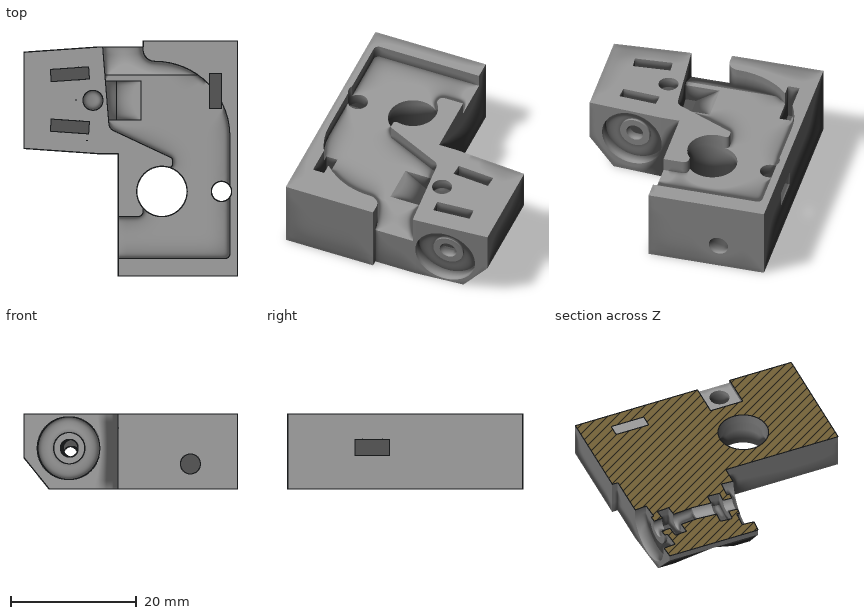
import cadquery as cq
import math

overall_x = 34.0
overall_y = 37.5
height = 12.0
block_left = 15.0

arm_axis_y = 28.0
arm_tip_half_width = 7.7
arm_taper_length = 12.0
arm_taper_angle = 4.0
arm_taper = math.tan(math.radians(arm_taper_angle))
arm_root_half_width = arm_tip_half_width + arm_taper_length * arm_taper
arm_back = arm_axis_y + arm_root_half_width
shoulder_x = 18.98
chamfer_length = 4.0
chamfer_height = 5.0

recess_floor = 9.75
wall_thickness = 1.2
recess_right = overall_x - wall_thickness
recess_front = 2.8
recess_corner_radius = 0.8
sweep_radius = 12.0
sweep_center_x = recess_right - sweep_radius
sweep_center_y = 22.25
shoulder_radius = sweep_center_x - shoulder_x

land_front = 9.5
land_right = 18.98
land_corner_radius = 0.85
finger_bottom = 17.35
finger_tip_x = 23.65
finger_tip_y = 18.8
finger_root_x = 13.58
finger_root_y = 23.5
land_back_x = 12.52
finger_root_radius = 1.3
finger_tip_radius = 0.45

back_slope_front = 32.02
back_slope_angle = 30.0
well_right = 18.6
well_slope_foot = 14.7
well_front = 24.9
well_back = 31.12
well_depth = 2.9

round_holes_y = 13.5
main_hole_x = 21.98
main_hole_diameter = 8.0
screw_hole_diameter = 3.2
wall_hole_x = 31.45
arm_hole_x = 11.0
arm_hole_depth = 1.88
wall_slot_left = 29.55
wall_slot_right = 31.45
wall_slot_front = 26.7
wall_slot_back = 32.3
wall_slot_depth = 6.0

wall_nut_slot_top = 7.9
wall_nut_slot_height = 2.5
wall_nut_slot_width = 5.5
wall_nut_slot_left = wall_hole_x - wall_nut_slot_width / 2

front_hole_x = 26.5
front_hole_z = 4.0
front_hole_depth = 7.5

bore_x = 7.1
front_bore_z = 6.52
back_bore_z = 5.4
bore_diameter = 2.8
seat_diameter = 10.0
seat_depth = 2.0
boss_diameter = 5.0
boss_height = 0.5

nut_slot_x = 7.3
nut_slot_offset = 4.15
nut_slot_length = 6.1
nut_slot_width = 1.95
nut_slot_below_bore = 3.0

groove_half_angle = 45.0
groove_half_width = 5.2
groove_narrowing = 0.5
groove_wall_x = 5.05
groove_foot_x = 7.35
groove_length = 6.38
groove_step_z = 2.1
groove_peak_radius = 0.7


def prism(outline, bottom, top):
    """Extrude a closed XY outline between two heights."""
    return outline.extrude(top - bottom).translate((0, 0, bottom))


def box(x_range, y_range, z_range):
    """Box from its three coordinate ranges."""
    low, high = zip(x_range, y_range, z_range)
    size = [b - a for a, b in zip(low, high)]
    return cq.Workplane("XY").box(*size, centered=False).translate(low)


def upright_hole(x, y, diameter, bottom):
    """Cylinder from the given bottom up to the top face."""
    circle = cq.Workplane("XY").center(x, y).circle(diameter / 2)
    return prism(circle, bottom, height)


def make_body():
    """Block and arm outline with the sloping underside of the arm tip."""
    outline = cq.Workplane("XY").polyline([
        (block_left, 0),
        (overall_x, 0),
        (overall_x, overall_y),
        (shoulder_x, overall_y),
        (shoulder_x, arm_back),
        (arm_taper_length, arm_back),
        (0, arm_axis_y + arm_tip_half_width),
        (0, arm_axis_y - arm_tip_half_width),
        (arm_taper_length, arm_axis_y - arm_root_half_width),
        (block_left, arm_axis_y - arm_root_half_width),
    ]).close()
    tip_chamfer = (
        cq.Workplane("XZ")
        .polyline([(0, 0), (chamfer_length, 0), (0, chamfer_height)])
        .close()
        .extrude(-overall_y)
    )
    return outline.extrude(height).cut(tip_chamfer)


def recess_outline():
    """Recess border: straight walls, a quarter-circle sweep and a rounded shoulder."""
    diagonal = math.sqrt(0.5)
    sweep_top = sweep_center_y + sweep_radius
    corner_offset = recess_corner_radius * (1 - diagonal)
    shoulder_center_y = sweep_top + shoulder_radius
    return (
        cq.Workplane("XY")
        .moveTo(0, recess_front)
        .lineTo(recess_right - recess_corner_radius, recess_front)
        .threePointArc(
            (recess_right - corner_offset, recess_front + corner_offset),
            (recess_right, recess_front + recess_corner_radius),
        )
        .lineTo(recess_right, sweep_center_y)
        .threePointArc(
            (sweep_center_x + sweep_radius * diagonal, sweep_center_y + sweep_radius * diagonal),
            (sweep_center_x, sweep_top),
        )
        .threePointArc(
            (sweep_center_x - shoulder_radius * diagonal, shoulder_center_y - shoulder_radius * diagonal),
            (shoulder_x, shoulder_center_y),
        )
        .lineTo(shoulder_x, overall_y)
        .lineTo(0, overall_y)
        .close()
    )


def make_land():
    """Full-height land that keeps the arm top and the finger beside the main hole."""
    outline = cq.Workplane("XY").polyline([
        (0, land_front),
        (land_right, land_front),
        (land_right, round_holes_y),
        (main_hole_x, round_holes_y),
        (main_hole_x, finger_bottom),
        (finger_tip_x, finger_bottom),
        (finger_tip_x, finger_tip_y),
        (finger_root_x, finger_root_y),
        (land_back_x, arm_back),
        (land_back_x, overall_y),
        (0, overall_y),
    ]).close()
    land = outline.extrude(height)
    for x, y, radius in [
        (land_right, land_front, land_corner_radius),
        (finger_tip_x, finger_bottom, finger_tip_radius),
        (finger_tip_x, finger_tip_y, finger_tip_radius),
        (finger_root_x, finger_root_y, finger_root_radius),
    ]:
        corner = cq.selectors.NearestToPointSelector((x, y, height / 2))
        land = land.edges("|Z").edges(corner).fillet(radius)
    return land


def make_recess():
    """Recess with its back slope and sloped well, leaving the land standing."""
    recess = prism(recess_outline(), recess_floor, height)

    slope_length = overall_y - back_slope_front
    slope_drop = slope_length * math.tan(math.radians(back_slope_angle))
    slope = (
        cq.Workplane("YZ")
        .polyline([
            (back_slope_front, recess_floor),
            (overall_y, recess_floor),
            (overall_y, recess_floor - slope_drop),
        ])
        .close()
        .extrude(overall_x)
    )
    slope = slope.intersect(prism(recess_outline(), 0, height))

    well = (
        cq.Workplane("XZ", origin=(0, well_front, 0))
        .polyline([
            (0, recess_floor),
            (well_right, recess_floor),
            (well_slope_foot, recess_floor - well_depth),
            (0, recess_floor - well_depth),
        ])
        .close()
        .extrude(well_front - well_back)
    )
    return recess.union(slope).union(well).cut(make_land())


def make_side_bore(side, bore_z):
    """Seat, inner boss and bore on one tapered side: -1 is the front, +1 the back."""
    tilt = math.radians(arm_taper_angle)
    half_width = arm_tip_half_width + bore_x * arm_taper
    face = cq.Plane(
        origin=(bore_x, arm_axis_y + side * half_width, bore_z),
        xDir=(0, 0, 1),
        normal=(-math.sin(tilt), side * math.cos(tilt), 0),
    )
    bore_length = half_width / math.cos(tilt) + bore_diameter / 2 * arm_taper
    seat = cq.Workplane(face).circle(seat_diameter / 2).extrude(-seat_depth)
    boss = (
        cq.Workplane(face)
        .workplane(offset=-seat_depth)
        .circle(boss_diameter / 2)
        .extrude(boss_height)
    )
    bore = cq.Workplane(face).circle(bore_diameter / 2).extrude(-bore_length)
    return seat.cut(boss).union(bore)


def make_nut_slot(side, bore_z):
    """Upright slot parallel to one tapered side of the arm."""
    outline = cq.Workplane("XY").rect(nut_slot_length, nut_slot_width)
    slot = prism(outline, bore_z - nut_slot_below_bore, height)
    slot = slot.rotate((0, 0, 0), (0, 0, 1), side * arm_taper_angle)
    return slot.translate((nut_slot_x, arm_axis_y + side * nut_slot_offset, 0))


def groove_section(half_width, inset):
    """Triangle parallel to the tip chamfer, moved inwards along X."""
    peak = half_width / math.tan(math.radians(groove_half_angle))
    peak_x = chamfer_length * (1 - peak / chamfer_height)
    points = [
        cq.Vector(chamfer_length + inset, arm_axis_y - half_width, 0),
        cq.Vector(peak_x + inset, arm_axis_y, peak),
        cq.Vector(chamfer_length + inset, arm_axis_y + half_width, 0),
    ]
    return cq.Wire.makePolygon(points, close=True)


def make_groove():
    """V groove with a rounded peak, ending in a wall above a slanted foot."""
    mouth = groove_section(groove_half_width, 0)
    inner_end = groove_section(groove_half_width - groove_narrowing, groove_length)
    groove = cq.Workplane(cq.Solid.makeLoft([mouth, inner_end], True))
    peak_edge = cq.selectors.NearestToPointSelector((groove_length / 2, arm_axis_y, chamfer_height))
    groove = groove.edges(peak_edge).fillet(groove_peak_radius)
    inner_wall = (
        cq.Workplane("XZ")
        .polyline([
            (groove_wall_x, groove_step_z),
            (groove_foot_x, 0),
            (overall_x, 0),
            (overall_x, height),
            (groove_wall_x, height),
        ])
        .close()
        .extrude(-overall_y)
    )
    return groove.cut(inner_wall)


result = make_body().cut(make_recess())

wall_slot = box(
    (wall_slot_left, wall_slot_right),
    (wall_slot_front, wall_slot_back),
    (height - wall_slot_depth, height),
)
wall_nut_slot = box(
    (wall_nut_slot_left, overall_x),
    (round_holes_y - wall_nut_slot_width / 2, round_holes_y + wall_nut_slot_width / 2),
    (wall_nut_slot_top - wall_nut_slot_height, wall_nut_slot_top),
)
front_hole = (
    cq.Workplane("XZ")
    .center(front_hole_x, front_hole_z)
    .circle(screw_hole_diameter / 2)
    .extrude(-front_hole_depth)
)
result = (
    result
    .cut(upright_hole(main_hole_x, round_holes_y, main_hole_diameter, 0))
    .cut(upright_hole(wall_hole_x, round_holes_y, screw_hole_diameter, 0))
    .cut(upright_hole(arm_hole_x, arm_axis_y, screw_hole_diameter, height - arm_hole_depth))
    .cut(wall_slot)
    .cut(wall_nut_slot)
    .cut(front_hole)
    .cut(make_groove())
)

for side, bore_z in [(-1, front_bore_z), (1, back_bore_z)]:
    result = result.cut(make_side_bore(side, bore_z))
    result = result.cut(make_nut_slot(side, bore_z))